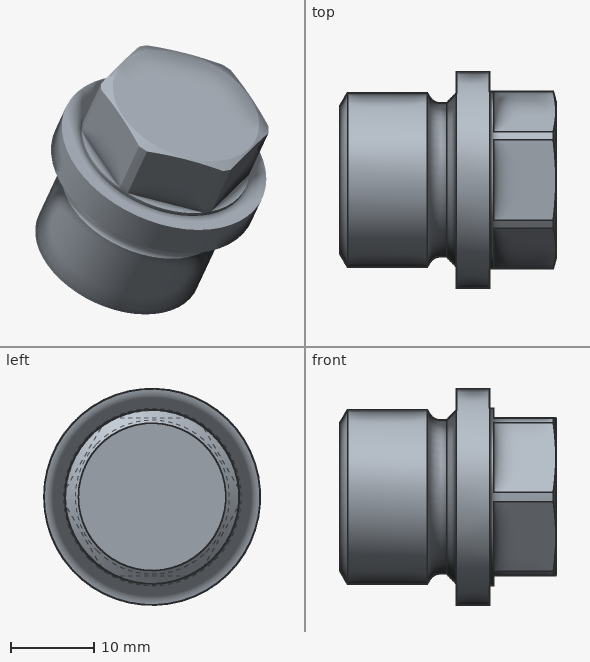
import cadquery as cq
import math


flange_start = 14.0
flange_thickness = 4.0
collar_thickness = 0.5
total_length = 26.0
flange_end = flange_start + flange_thickness
hex_start = flange_end + collar_thickness

shank_radius = 20.95 / 2
shank_tip_radius = 8.85
shank_tip_angle = math.radians(30)
shank_tip_length = (shank_radius - shank_tip_radius) * math.tan(shank_tip_angle)

groove_radius = 18.5 / 2
groove_fillet_radius = 1.45
groove_entry_angle = math.radians(60)
groove_floor_start = 12.05
groove_floor_length = 0.8
groove_floor_end = groove_floor_start + groove_floor_length
groove_exit_angle = math.radians(45)

flange_radius = 26.0 / 2
head_radius = 21.3 / 2
across_flats = 19.0
head_end_radius = 9.3
head_chamfer_angle = math.radians(15)
head_chamfer_length = (head_radius - head_end_radius) * math.tan(head_chamfer_angle)


def fillet_point(angle):
    """Point of the groove fillet where its tangent is inclined by angle to the axis."""
    x = groove_floor_start - groove_fillet_radius * math.sin(angle)
    r = groove_radius + groove_fillet_radius * (1 - math.cos(angle))
    return x, r


def make_turned_body():
    """Revolved body; the head is still round."""
    fillet_start = fillet_point(groove_entry_angle)
    fillet_middle = fillet_point(groove_entry_angle / 2)
    entry_height = shank_radius - fillet_start[1]
    shank_end = fillet_start[0] - entry_height / math.tan(groove_entry_angle)
    exit_length = flange_start - groove_floor_end
    exit_radius = groove_radius + exit_length * math.tan(groove_exit_angle)

    profile = (
        cq.Workplane("XY")
        .moveTo(0, 0)
        .lineTo(0, shank_tip_radius)
        .lineTo(shank_tip_length, shank_radius)
        .lineTo(shank_end, shank_radius)
        .lineTo(*fillet_start)
        .threePointArc(fillet_middle, (groove_floor_start, groove_radius))
        .lineTo(groove_floor_end, groove_radius)
        .lineTo(flange_start, exit_radius)
        .lineTo(flange_start, flange_radius)
        .lineTo(flange_end, flange_radius)
        .lineTo(flange_end, head_radius)
        .lineTo(total_length - head_chamfer_length, head_radius)
        .lineTo(total_length, head_end_radius)
        .lineTo(total_length, 0)
        .close()
    )
    return profile.revolve(360, (0, 0, 0), (1, 0, 0))


def make_flats_cutter():
    """Ring around a hexagon with two corners on the Y axis and flats facing +Z and -Z."""
    across_corners = across_flats / math.cos(math.pi / 6)
    return (
        cq.Workplane("YZ")
        .workplane(offset=hex_start)
        .circle(flange_radius)
        .polygon(6, across_corners)
        .extrude(total_length - hex_start)
    )


result = make_turned_body().cut(make_flats_cutter())